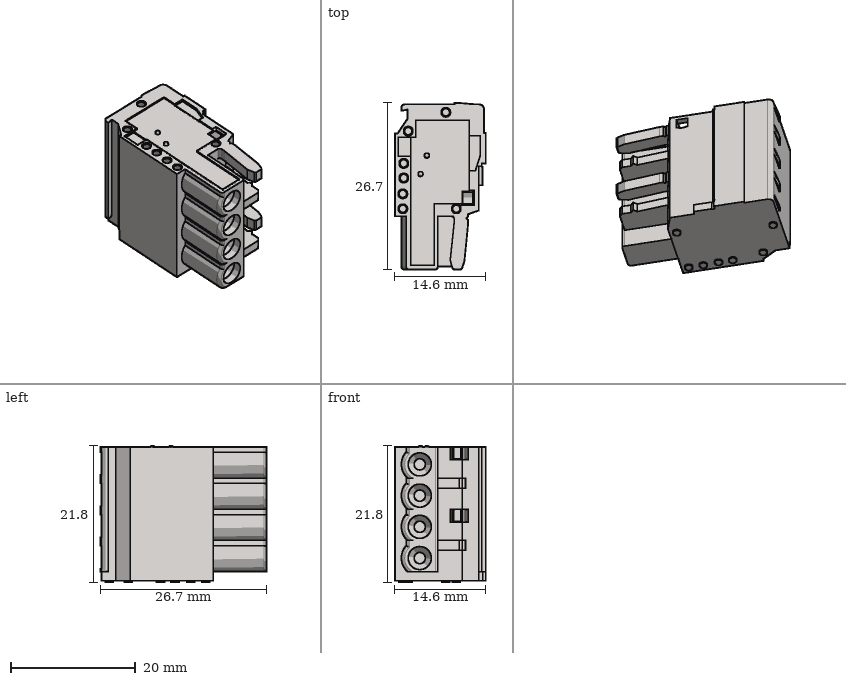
import cadquery as cq
import math


POLES = 4
PITCH = 5.0
COVER_THICKNESS = 1.45
STUD_HEIGHT = 0.2
TOP_Z = COVER_THICKNESS + POLES * PITCH

SHOULDER_Y = 8.53
BACK_Y = 26.5
FLANK_TOP_Y = 21.82
SLOPE_START = (0.43, FLANK_TOP_Y)
SLOPE_END = (2.01, 24.15)
HOOK_X = 1.05
HOOK_TIP_Y = 25.42
HOOK_ROOT_Y = 25.62
HOOK_RADIUS = 0.55
BEVEL_START = (10.82, SHOULDER_Y)
BEVEL_END = (13.48, 9.47)
SIDE_X = BEVEL_END[0]
REAR_SIDE_X = 14.32
REAR_SIDE_Y = 21.9
RIDGE_X = 14.6
REAR_CORNER_RADIUS = 0.85
MODULE_STEP_X = 13.96
MODULE_STEP_Y = 16.58
MODULE_RIDGE_Y = 17.04
COVER_BLOCK_X = 14.06
COVER_BLOCK_Y = (13.48, 16.48)
COVER_RIDGE_Y = 16.93

BACK_PAD_Y = 26.7
BACK_PAD_X = (9.56, 10.57, 13.5)
BACK_PAD_END_Y = 26.45
UPPER_PAD_HEIGHT = 0.85
LOWER_PAD_HEIGHT = 0.5

TUBE_X = 4.0
TUBE_AXIS_DROP = 2.81
TUBE_RADIUS = 2.95
TUBE_FLAT_X = 1.8
TUBE_SIDE_X = 6.89
TUBE_EDGE_RADIUS = 0.5
TUBE_SIDE_RADIUS = 0.4
SOCKET_DIAMETER = 3.7
SOCKET_DEPTH = 1.4
SOCKET_FLOOR_DIAMETER = 1.8
SOCKET_CONE_DEPTH = (SOCKET_DIAMETER - SOCKET_FLOOR_DIAMETER) / 2

LATCH_THICKNESS = 2.05
LATCH_TIP_CHAMFER = 0.15
LATCH_INNER_ROOT = (9.52, 7.6)
LATCH_INNER_BEND = (8.89, 1.55)
LATCH_TIP_X = (9.42, 10.6)
LATCH_TIP_SIDES_X = (9.2, 10.82)
LATCH_TIP_BEVEL_Y = 0.27
LATCH_OUTER_BEND = (11.18, 1.4)
LATCH_OUTER_X = 11.76
LATCH_OUTER_START_Y = 7.3
LATCH_NICK = (11.48, 8.24)
LATCH_NICK_HALF_WIDTH = 0.27
LATCH_ROOT_FILLET = 0.45
GUIDE_THICKNESS = 1.6
GUIDE_FRONT_Y = 0.5
GUIDE_FRONT_X = 10.34
GUIDE_SIDE_X = 10.82
GUIDE_CORNER_Y = 0.98
GUIDE_TOOTH = (11.34, 2.95)
GUIDE_TOOTH_HALF_WIDTH = 0.52
GUIDE_ROOT_X = 11.25
ROOT_OVERLAP = 1.0

PANEL_DEPTH = 0.2
POCKET_DEPTH = 0.4
PANEL_LEFT_X = 2.58
PANEL_RIGHT_X = 11.95
PANEL_TOP_Y = 23.9
PANEL_NOTCH = (3.37, 21.23)
PANEL_LEG = (6.31, 10.52)
PANEL_FRONT_Y = 0.67
LEFT_POCKET_X = 0.57
LEFT_POCKET_Y = (18.17, 21.23)
RIGHT_POCKET_X = (13.67, 12.91)
RIGHT_POCKET_Y = (15.87, 18.2, 21.42)
NUB_RADIUS = PANEL_DEPTH + STUD_HEIGHT
NUB_CENTERS = [(5.13, 18.28), (4.12, 15.32)]

STUD_CENTERS = [
    (8.18, 25.2),
    (2.15, 22.19),
    (1.43, 17.02),
    (1.43, 14.68),
    (1.29, 12.14),
    (1.29, 9.75),
    (9.85, 9.75),
]
HOLE_DIAMETER = 1.2
HOLE_RIM_DIAMETER = 1.5
HOLE_DEPTH = 1.2
STUD_DIAMETER = 1.3

WINDOW_X = (10.88, 12.48)
WINDOW_Y = (10.53, 12.38)
WINDOW_RIM_X = (10.62, 12.75)
WINDOW_RIM_Y = (10.33, 12.75)
WINDOW_RIM_DEPTH = 0.35
WINDOW_WALL_DEPTH = 0.62
WINDOW_FLOOR_DEPTH = 2.5
WINDOW_FLOOR_DIAMETER = 4.2


def prism(points, bottom_z, top_z):
    """Extrude a closed XY outline between two heights."""
    outline = cq.Workplane("XY").workplane(offset=bottom_z).polyline(points).close()
    return outline.extrude(top_z - bottom_z)


def box(x_range, y_range, z_range):
    """Axis-aligned box from its limits."""
    size = [high - low for low, high in (x_range, y_range, z_range)]
    corner = (x_range[0], y_range[0], z_range[0])
    return cq.Workplane("XY").box(*size, centered=False).translate(corner)


def vertical_edge_at(x, y):
    """Selector for the edges whose middle lies close to (x, y), at any height."""
    reach = 0.05
    low = (x - reach, y - reach, 0)
    high = (x + reach, y + reach, TOP_Z)
    return cq.selectors.BoxSelector(low, high)


def make_cover():
    outline = [
        (0, SHOULDER_Y),
        BEVEL_START,
        BEVEL_END,
        (SIDE_X, COVER_BLOCK_Y[0]),
        (COVER_BLOCK_X, COVER_BLOCK_Y[0]),
        (COVER_BLOCK_X, COVER_BLOCK_Y[1]),
        (MODULE_STEP_X, COVER_BLOCK_Y[1]),
        (MODULE_STEP_X, COVER_RIDGE_Y),
        (RIDGE_X, COVER_RIDGE_Y),
        (RIDGE_X, REAR_SIDE_Y),
        (REAR_SIDE_X, REAR_SIDE_Y),
        (REAR_SIDE_X, BACK_Y),
        (SLOPE_END[0], BACK_Y),
        SLOPE_END,
        SLOPE_START,
        (0, FLANK_TOP_Y),
    ]
    cover = prism(outline, 0, COVER_THICKNESS)
    return cover.edges(vertical_edge_at(REAR_SIDE_X, BACK_Y)).fillet(REAR_CORNER_RADIUS)


def make_housing():
    outline = [
        (0, SHOULDER_Y),
        BEVEL_START,
        BEVEL_END,
        (SIDE_X, MODULE_STEP_Y),
        (MODULE_STEP_X, MODULE_STEP_Y),
        (MODULE_STEP_X, MODULE_RIDGE_Y),
        (RIDGE_X, MODULE_RIDGE_Y),
        (RIDGE_X, REAR_SIDE_Y),
        (REAR_SIDE_X, REAR_SIDE_Y),
        (REAR_SIDE_X, BACK_Y),
        (HOOK_X, BACK_Y),
        (HOOK_X, HOOK_TIP_Y),
        (SLOPE_END[0], HOOK_ROOT_Y),
        SLOPE_END,
        SLOPE_START,
        (0, FLANK_TOP_Y),
    ]
    housing = prism(outline, COVER_THICKNESS, TOP_Z)
    housing = housing.edges(vertical_edge_at(REAR_SIDE_X, BACK_Y)).fillet(REAR_CORNER_RADIUS)
    return housing.edges(vertical_edge_at(HOOK_X, BACK_Y)).fillet(HOOK_RADIUS)


def make_back_pad(bottom_z, height):
    start_x, crest_x, end_x = BACK_PAD_X
    outline = [
        (start_x, BACK_PAD_END_Y),
        (end_x, BACK_PAD_END_Y),
        (crest_x, BACK_PAD_Y),
        (start_x, BACK_PAD_Y),
    ]
    return prism(outline, bottom_z, bottom_z + height)


def make_tube(top_z):
    """One plug tube: half-round flank below a flat one, with a rounded mating edge."""
    length = SHOULDER_Y + ROOT_OVERLAP
    axis_z = top_z - TUBE_AXIS_DROP
    bottom_z = top_z - PITCH
    upper = box((TUBE_FLAT_X, TUBE_SIDE_X), (0, length), (axis_z, top_z))
    upper = upper.edges("|Z and <X and <Y").fillet(TUBE_EDGE_RADIUS)
    lower = box((TUBE_X, TUBE_SIDE_X), (0, length), (bottom_z, axis_z))
    barrel = (
        cq.Workplane("XZ", origin=(TUBE_X, 0, axis_z))
        .circle(TUBE_RADIUS)
        .extrude(-length)
        .faces("<Y")
        .edges()
        .fillet(TUBE_EDGE_RADIUS)
    )
    flank = box((TUBE_X - TUBE_RADIUS, TUBE_X), (0, length), (bottom_z, top_z))
    tube = upper.union(lower).union(barrel.intersect(flank))
    return tube.edges(vertical_edge_at(TUBE_SIDE_X, 0)).fillet(TUBE_SIDE_RADIUS)


def make_socket(axis_z):
    """Round socket with a conical end, to be removed from a tube."""
    cone_end = SOCKET_DEPTH + SOCKET_CONE_DEPTH
    half_section = [
        (0, 0),
        (SOCKET_DIAMETER / 2, 0),
        (SOCKET_DIAMETER / 2, SOCKET_DEPTH),
        (SOCKET_FLOOR_DIAMETER / 2, cone_end),
        (0, cone_end),
    ]
    socket = cq.Workplane("XY").polyline(half_section).close().revolve(360, (0, 0), (0, 1))
    return socket.translate((TUBE_X, 0, axis_z))


def make_latch_arm(top_z):
    root_y = SHOULDER_Y + ROOT_OVERLAP
    root_x = LATCH_INNER_ROOT[0]
    fillet_x = root_x - LATCH_ROOT_FILLET
    nick_y = LATCH_NICK[1]
    outline = [
        (fillet_x, root_y),
        (fillet_x, SHOULDER_Y),
        (root_x, SHOULDER_Y),
        LATCH_INNER_ROOT,
        LATCH_INNER_BEND,
        (LATCH_TIP_SIDES_X[0], LATCH_TIP_BEVEL_Y),
        (LATCH_TIP_X[0], 0),
        (LATCH_TIP_X[1], 0),
        (LATCH_TIP_SIDES_X[1], LATCH_TIP_BEVEL_Y),
        LATCH_OUTER_BEND,
        (LATCH_OUTER_X, LATCH_OUTER_START_Y),
        (LATCH_OUTER_X, nick_y - LATCH_NICK_HALF_WIDTH),
        LATCH_NICK,
        (LATCH_OUTER_X, nick_y + LATCH_NICK_HALF_WIDTH),
        (LATCH_OUTER_X, root_y),
    ]
    arm = prism(outline, top_z - LATCH_THICKNESS, top_z)
    arm = arm.faces("<Y").edges("<Z").chamfer(LATCH_TIP_CHAMFER)
    rounding = (
        cq.Workplane("XY")
        .workplane(offset=top_z - LATCH_THICKNESS)
        .moveTo(root_x, SHOULDER_Y)
        .lineTo(fillet_x, SHOULDER_Y)
        .radiusArc((root_x, SHOULDER_Y - LATCH_ROOT_FILLET), LATCH_ROOT_FILLET)
        .close()
        .extrude(LATCH_THICKNESS)
    )
    return arm.union(rounding)


def make_guide_arm(top_z):
    root_y = SHOULDER_Y + ROOT_OVERLAP
    inner_x = TUBE_SIDE_X - TUBE_SIDE_RADIUS
    outline = [
        (inner_x, GUIDE_FRONT_Y),
        (GUIDE_FRONT_X, GUIDE_FRONT_Y),
        (GUIDE_SIDE_X, GUIDE_CORNER_Y),
        (GUIDE_SIDE_X, GUIDE_TOOTH[1] - GUIDE_TOOTH_HALF_WIDTH),
        GUIDE_TOOTH,
        (GUIDE_SIDE_X, GUIDE_TOOTH[1] + GUIDE_TOOTH_HALF_WIDTH),
        (GUIDE_ROOT_X, SHOULDER_Y),
        (GUIDE_ROOT_X, root_y),
        (inner_x, root_y),
    ]
    return prism(outline, top_z - GUIDE_THICKNESS, top_z)


def make_panel_recess():
    """Shallow recess of the top face with a deeper pocket on either side."""
    panel = [
        (PANEL_NOTCH[0], PANEL_TOP_Y),
        (PANEL_RIGHT_X, PANEL_TOP_Y),
        (PANEL_RIGHT_X, PANEL_LEG[1]),
        (PANEL_LEG[0], PANEL_LEG[1]),
        (PANEL_LEG[0], PANEL_FRONT_Y),
        (PANEL_LEFT_X, PANEL_FRONT_Y),
        (PANEL_LEFT_X, PANEL_NOTCH[1]),
        PANEL_NOTCH,
    ]
    outer_x, front_x = RIGHT_POCKET_X
    front_y, slant_y, back_y = RIGHT_POCKET_Y
    right_pocket = [
        (PANEL_RIGHT_X, back_y),
        (outer_x, back_y),
        (outer_x, slant_y),
        (front_x, front_y),
        (PANEL_RIGHT_X, front_y),
    ]
    left_pocket = box(
        (LEFT_POCKET_X, PANEL_LEFT_X),
        LEFT_POCKET_Y,
        (TOP_Z - POCKET_DEPTH, TOP_Z),
    )
    recess = prism(panel, TOP_Z - PANEL_DEPTH, TOP_Z)
    return recess.union(prism(right_pocket, TOP_Z - POCKET_DEPTH, TOP_Z)).union(left_pocket)


def make_nub(x, y):
    """Dome standing on the recessed panel."""
    floor_z = TOP_Z - PANEL_DEPTH
    ball = cq.Workplane("XY").sphere(NUB_RADIUS).translate((x, y, floor_z))
    half_space = box(
        (x - NUB_RADIUS, x + NUB_RADIUS),
        (y - NUB_RADIUS, y + NUB_RADIUS),
        (floor_z - STUD_HEIGHT, floor_z + NUB_RADIUS),
    )
    return ball.intersect(half_space)


def make_stud_hole(x, y):
    """Blind hole with a 45 degree rim."""
    rim = (HOLE_RIM_DIAMETER - HOLE_DIAMETER) / 2
    half_section = [
        (0, 0),
        (HOLE_RIM_DIAMETER / 2, 0),
        (HOLE_DIAMETER / 2, -rim),
        (HOLE_DIAMETER / 2, -HOLE_DEPTH),
        (0, -HOLE_DEPTH),
    ]
    hole = cq.Workplane("XZ").polyline(half_section).close().revolve(360, (0, 0), (0, 1))
    return hole.translate((x, y, TOP_Z))


def rectangle_wire(x_range, y_range, z):
    corners = [
        (x_range[0], y_range[0], z),
        (x_range[1], y_range[0], z),
        (x_range[1], y_range[1], z),
        (x_range[0], y_range[1], z),
    ]
    return cq.Wire.makePolygon([cq.Vector(*corner) for corner in corners], close=True)


def make_window():
    """Tapered opening above a trough-floored passage that leaves through the +X side."""
    rim_z = TOP_Z - WINDOW_RIM_DEPTH
    passage_z = TOP_Z - WINDOW_WALL_DEPTH
    floor_z = TOP_Z - WINDOW_FLOOR_DEPTH
    rim_wires = [
        rectangle_wire(WINDOW_X, WINDOW_Y, rim_z),
        rectangle_wire(WINDOW_RIM_X, WINDOW_RIM_Y, TOP_Z),
    ]
    rim = cq.Workplane(cq.Solid.makeLoft(rim_wires, True))
    shaft = box(WINDOW_X, WINDOW_Y, (passage_z, rim_z))

    radius = WINDOW_FLOOR_DIAMETER / 2
    middle_y = sum(WINDOW_Y) / 2
    half_width = (WINDOW_Y[1] - WINDOW_Y[0]) / 2
    wall_end_z = floor_z + radius - math.sqrt(radius**2 - half_width**2)
    passage = (
        cq.Workplane("YZ", origin=(WINDOW_X[0], 0, 0))
        .moveTo(WINDOW_Y[0], passage_z)
        .lineTo(WINDOW_Y[1], passage_z)
        .lineTo(WINDOW_Y[1], wall_end_z)
        .threePointArc((middle_y, floor_z), (WINDOW_Y[0], wall_end_z))
        .close()
        .extrude(RIDGE_X - WINDOW_X[0])
    )
    return rim.union(shaft).union(passage)


def make_stud(x, y):
    stud = cq.Workplane("XY").center(x, y).circle(STUD_DIAMETER / 2)
    return stud.extrude(-STUD_HEIGHT)


result = make_cover().union(make_housing())

for pole in range(POLES):
    module_top = TOP_Z - pole * PITCH
    result = result.union(make_tube(module_top))
    result = result.union(make_back_pad(module_top - UPPER_PAD_HEIGHT, UPPER_PAD_HEIGHT))
    result = result.union(make_back_pad(module_top - PITCH, LOWER_PAD_HEIGHT))
    if pole % 2 == 0:
        result = result.union(make_latch_arm(module_top))
    else:
        result = result.union(make_guide_arm(module_top))
    result = result.cut(make_socket(module_top - TUBE_AXIS_DROP))

result = result.cut(make_panel_recess()).cut(make_window())

for center in STUD_CENTERS:
    result = result.cut(make_stud_hole(*center)).union(make_stud(*center))

for center in NUB_CENTERS:
    result = result.union(make_nub(*center))